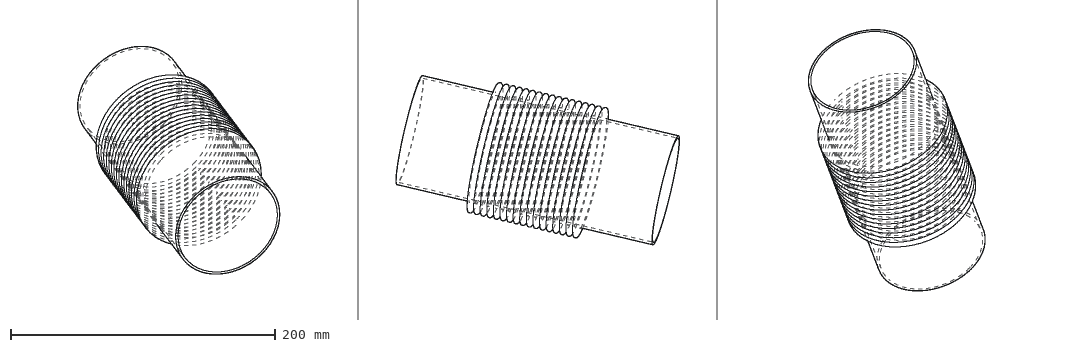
import cadquery as cq

total_length = 200.0
bore_diameter = 81.0
pipe_diameter = 85.0
rib_diameter = 101.5
bellows_length = 87.5
rib_count = 17
root_radius = 1.08

pitch = bellows_length / rib_count
crest_radius = pitch / 2 - root_radius
bore = bore_diameter / 2
pipe = pipe_diameter / 2
rim = rib_diameter / 2
root_top = pipe + root_radius
crest_base = rim - crest_radius
diagonal = 0.5 ** 0.5


def add_rib(outline, center):
    """Append one rib, from groove bottom to groove bottom, to a half section."""
    left = center - crest_radius
    right = center + crest_radius
    arc_offset = root_radius * (1 - diagonal)
    return (
        outline
        .threePointArc((left - arc_offset, pipe + arc_offset), (left, root_top))
        .lineTo(left, crest_base)
        .threePointArc((center, rim), (right, crest_base))
        .lineTo(right, root_top)
        .threePointArc((right + arc_offset, pipe + arc_offset), (center + pitch / 2, pipe))
    )


section = (
    cq.Workplane("XY")
    .moveTo(-total_length / 2, bore)
    .lineTo(-total_length / 2, pipe)
    .lineTo(-bellows_length / 2, pipe)
)
for index in range(rib_count):
    section = add_rib(section, (index - (rib_count - 1) / 2) * pitch)
section = section.lineTo(total_length / 2, pipe).lineTo(total_length / 2, bore).close()

result = section.revolve(360, (0, 0, 0), (1, 0, 0))